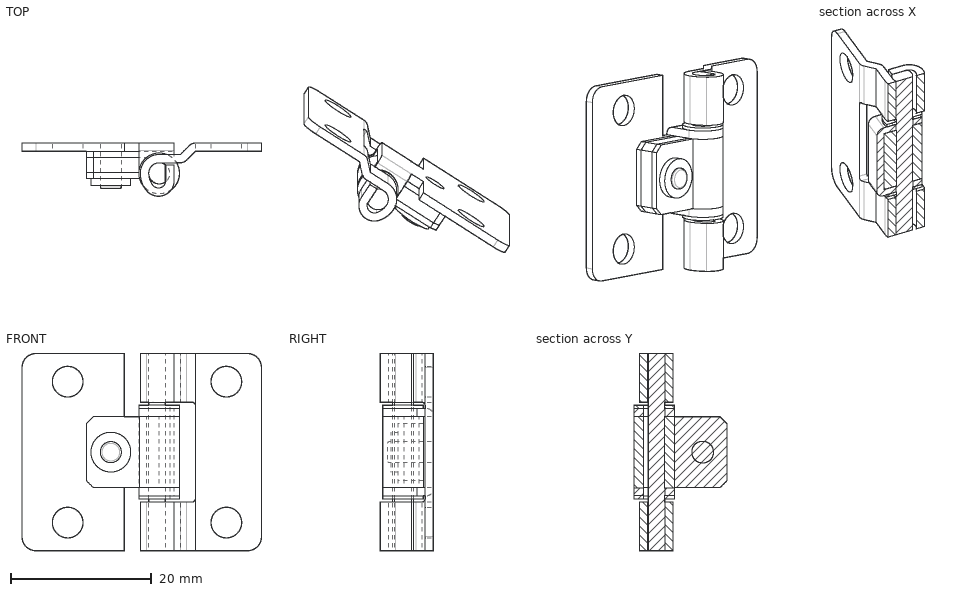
import cadquery as cq
import math


WIDTH = 34.0
HEIGHT = 28.0
PLATE = 1.2

AXIS_X = 2.48
AXIS_Y = -4.32
PIN_RADIUS = 1.5
PIN_FLAT = 0.9

HOLE_DIAMETER = 4.32
LEFT_HOLE_X = -10.5
RIGHT_HOLE_X = 12.0
HOLE_Z = 10.0
CORNER_RADIUS = 2.0

LEFT_LEAF_EDGE = -2.45
SLEEVE_RADIUS = 2.9
EAR_LEFT = AXIS_X - SLEEVE_RADIUS
EAR_RIGHT = 4.6
EAR_BEND_RADIUS = 1.1
CLIP_HALF = 5.03
EAR_OUTER = CLIP_HALF + PLATE

EAR_WASHER_THICKNESS = 0.45

KNUCKLE_INNER = 7.07
WINDOW_CORNER_RADIUS = 0.5
JOG_ANGLE = math.radians(45)
CURL_RADIUS = PIN_RADIUS + PLATE
LIP_CLEARANCE = 0.05
LIP_BEND_INNER = 1.02
LIP_BEND_OUTER = LIP_BEND_INNER + PLATE
CURL_FRONT = 3.25
LIP_TOP = 1.2
PLATE_BEND_X = 7.6

CLIP_LEFT = -7.85
CLIP_CHAMFER = 1.0
TAIL = 0.85
CORE = 2.18
BACK_TAIL_Y = -PLATE
CORE_BACK_Y = BACK_TAIL_Y - TAIL
CORE_FRONT_Y = CORE_BACK_Y - CORE
CLIP_FRONT_Y = CORE_FRONT_Y - TAIL

RIVET_X = -4.4
RIVET_RADIUS = 1.5
RIVET_ROUNDING = 0.25
RIVET_PROJECTION = 0.45
RIVET_WASHER_RADIUS = 2.82
RIVET_WASHER_THICKNESS = 1.0
RIVET_WASHER_FRONT_Y = CLIP_FRONT_Y - RIVET_WASHER_THICKNESS
RIVET_FRONT_Y = RIVET_WASHER_FRONT_Y - RIVET_PROJECTION


def box(x_min, x_max, y_min, y_max, z_min, z_max):
    size = (x_max - x_min, y_max - y_min, z_max - z_min)
    return cq.Workplane("XY").box(*size, centered=False).translate((x_min, y_min, z_min))


def axis_cylinder(radius, z_min, z_max):
    """Cylinder on the hinge axis."""
    return cq.Workplane("XY", origin=(AXIS_X, AXIS_Y, z_min)).circle(radius).extrude(z_max - z_min)


def rivet_cylinder(radius, y_front, y_back):
    """Cylinder on the rivet axis, parallel to Y."""
    plane = cq.Workplane("XZ", origin=(RIVET_X, y_back, 0))
    return plane.circle(radius).extrude(y_back - y_front)


def drill_mounting_holes(leaf, x):
    points = [(x, -HOLE_Z), (x, HOLE_Z)]
    holes = cq.Workplane("XZ").pushPoints(points).circle(HOLE_DIAMETER / 2).extrude(PLATE)
    return leaf.cut(holes)


PIN_BORE = axis_cylinder(PIN_RADIUS, -HEIGHT / 2, HEIGHT / 2)
RIVET_BORE = rivet_cylinder(RIVET_RADIUS, RIVET_FRONT_Y, 0)


def make_ear():
    """Upper ear, bent forward from the tongue and rounded about the hinge axis."""
    strip = box(EAR_LEFT, EAR_RIGHT, AXIS_Y, 0, CLIP_HALF, EAR_OUTER)
    strip = strip.edges("|X and >Y and >Z").fillet(EAR_BEND_RADIUS)
    return strip.union(axis_cylinder(SLEEVE_RADIUS, CLIP_HALF, EAR_OUTER))


def make_left_leaf():
    plate = box(-WIDTH / 2, LEFT_LEAF_EDGE, -PLATE, 0, -HEIGHT / 2, HEIGHT / 2)
    plate = plate.edges("|Y and <X").fillet(CORNER_RADIUS)
    tongue = box(LEFT_LEAF_EDGE, EAR_RIGHT, -PLATE, 0, -CLIP_HALF, CLIP_HALF)
    ear = make_ear()
    leaf = plate.union(tongue).union(ear).union(ear.mirror("XY"))
    return drill_mounting_holes(leaf.cut(PIN_BORE).cut(RIVET_BORE), LEFT_HOLE_X)


def polar(center, radius, angle):
    """Point on a circle about center, at an angle in radians from +X."""
    return (center[0] + radius * math.cos(angle), center[1] + radius * math.sin(angle))


def make_leaf_profile():
    """Cross-section of the right leaf: plate, 45 degree jog, curl over the pin and end lip."""
    axis = (AXIS_X, AXIS_Y)
    curl_back = AXIS_Y + CURL_RADIUS
    curl_inside = AXIS_Y + PIN_RADIUS

    plate_bend = (PLATE_BEND_X, -PLATE)
    rise = plate_bend[1] - curl_back
    jog_run = PLATE / math.sin(JOG_ANGLE) + rise / math.tan(JOG_ANGLE)
    strip_bend = (PLATE_BEND_X - jog_run, curl_back)
    up = math.pi / 2
    down = -math.pi / 2
    jog_back = up + JOG_ANGLE
    jog_front = down + JOG_ANGLE

    lip_inside = AXIS_X + PIN_FLAT + LIP_CLEARANCE
    lip_outside = lip_inside + PLATE
    lip_center = (lip_inside - LIP_BEND_INNER, AXIS_Y - CURL_FRONT + LIP_BEND_OUTER)
    offset_x = lip_center[0] - (AXIS_X - CURL_RADIUS)
    offset_y = lip_center[1] - AXIS_Y
    flank_radius = (offset_x**2 + offset_y**2 - LIP_BEND_OUTER**2) / (2 * (offset_x - LIP_BEND_OUTER))
    flank_center = (AXIS_X - CURL_RADIUS + flank_radius, AXIS_Y)
    flank_angle = math.atan2(offset_y, lip_center[0] - flank_center[0]) + 2 * math.pi
    bend_middle = (flank_angle + 2 * math.pi) / 2
    flank_middle = (math.pi + flank_angle) / 2
    curl_middle = 3 * math.pi / 4

    return (
        cq.Workplane("XY", origin=(0, 0, -HEIGHT / 2))
        .moveTo(WIDTH / 2, 0)
        .lineTo(PLATE_BEND_X, 0)
        .threePointArc(
            polar(plate_bend, PLATE, (up + jog_back) / 2),
            polar(plate_bend, PLATE, jog_back),
        )
        .lineTo(*strip_bend)
        .lineTo(AXIS_X, curl_back)
        .threePointArc(polar(axis, CURL_RADIUS, curl_middle), polar(axis, CURL_RADIUS, math.pi))
        .threePointArc(
            polar(flank_center, flank_radius, flank_middle),
            polar(flank_center, flank_radius, flank_angle),
        )
        .threePointArc(polar(lip_center, LIP_BEND_OUTER, bend_middle), (lip_outside, lip_center[1]))
        .lineTo(lip_outside, AXIS_Y + LIP_TOP)
        .lineTo(lip_inside, AXIS_Y + LIP_TOP)
        .lineTo(lip_inside, lip_center[1])
        .threePointArc(
            polar(lip_center, LIP_BEND_INNER, bend_middle),
            polar(lip_center, LIP_BEND_INNER, flank_angle),
        )
        .threePointArc(
            polar(flank_center, flank_radius - PLATE, flank_middle),
            polar(axis, PIN_RADIUS, math.pi),
        )
        .threePointArc(polar(axis, PIN_RADIUS, curl_middle), (AXIS_X, curl_inside))
        .lineTo(strip_bend[0], curl_inside)
        .threePointArc(
            polar(strip_bend, PLATE, (down + jog_front) / 2),
            polar(strip_bend, PLATE, jog_front),
        )
        .lineTo(*plate_bend)
        .lineTo(WIDTH / 2, -PLATE)
        .close()
    )


def make_right_leaf():
    leaf = make_leaf_profile().extrude(HEIGHT)
    leaf = leaf.edges("|Y and >X").fillet(CORNER_RADIUS)
    window = box(-WIDTH / 2, PLATE_BEND_X, -WIDTH / 2, WIDTH / 2, -KNUCKLE_INNER, KNUCKLE_INNER)
    window = window.edges("|Y and >X").fillet(WINDOW_CORNER_RADIUS)
    return drill_mounting_holes(leaf.cut(window), RIGHT_HOLE_X)


def make_pin():
    """Full-height pin with a flat that faces the lip of each knuckle."""
    flat_x = AXIS_X + PIN_FLAT
    beyond_flat = box(flat_x, flat_x + PIN_RADIUS, AXIS_Y - PIN_RADIUS, AXIS_Y + PIN_RADIUS,
                      -HEIGHT / 2, HEIGHT / 2)
    return axis_cylinder(PIN_RADIUS, -HEIGHT / 2, HEIGHT / 2).cut(beyond_flat)


def make_ear_washer(z_min):
    return axis_cylinder(SLEEVE_RADIUS, z_min, z_min + EAR_WASHER_THICKNESS).cut(PIN_BORE)


def make_clip_layer(y_front, y_back):
    """Slab from the chamfered end of the clip to the hinge axis."""
    slab = box(CLIP_LEFT, AXIS_X, y_front, y_back, -CLIP_HALF, CLIP_HALF)
    return slab.edges("|Y and <X").chamfer(CLIP_CHAMFER)


def make_friction_clip():
    """Sleeve round the pin with two parallel tails."""
    sleeve = axis_cylinder(SLEEVE_RADIUS, -CLIP_HALF, CLIP_HALF)
    back_tail = make_clip_layer(CORE_BACK_Y, BACK_TAIL_Y)
    front_tail = make_clip_layer(CLIP_FRONT_Y, CORE_FRONT_Y)
    return sleeve.union(back_tail).union(front_tail).cut(PIN_BORE).cut(RIVET_BORE)


def make_clip_core():
    """Filler between the tails, hollowed at one end to fit the sleeve."""
    sleeve = axis_cylinder(SLEEVE_RADIUS, -CLIP_HALF, CLIP_HALF)
    return make_clip_layer(CORE_FRONT_Y, CORE_BACK_Y).cut(sleeve).cut(RIVET_BORE)


def make_rivet_washer():
    return rivet_cylinder(RIVET_WASHER_RADIUS, RIVET_WASHER_FRONT_Y, CLIP_FRONT_Y).cut(RIVET_BORE)


def make_rivet():
    return rivet_cylinder(RIVET_RADIUS, RIVET_FRONT_Y, 0).faces("<Y").edges().fillet(RIVET_ROUNDING)


left_leaf = make_left_leaf()
right_leaf = make_right_leaf()
pin = make_pin()
ear_washers = [make_ear_washer(z) for z in (EAR_OUTER, -EAR_OUTER - EAR_WASHER_THICKNESS)]
friction_clip = make_friction_clip()
clip_core = make_clip_core()
rivet_washer = make_rivet_washer()
rivet = make_rivet()

result = cq.Compound.makeCompound([
    left_leaf.val(),
    right_leaf.val(),
    pin.val(),
    *[washer.val() for washer in ear_washers],
    friction_clip.val(),
    clip_core.val(),
    rivet_washer.val(),
    rivet.val(),
])